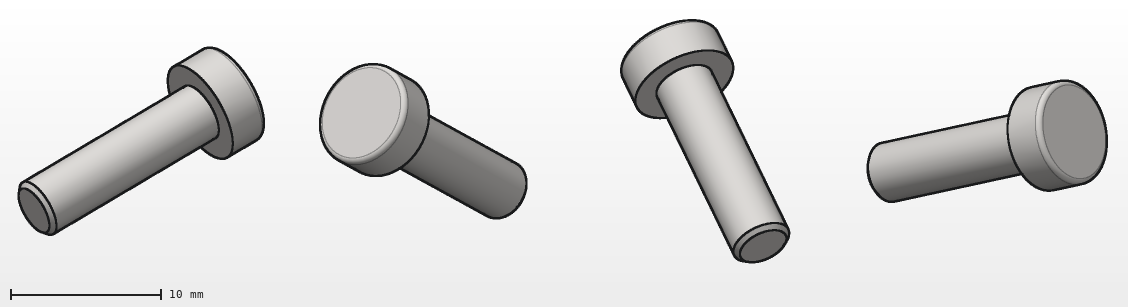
import cadquery as cq

total_length = 16.8
head_diameter = 7.0
head_height = 2.8
head_edge_radius = 0.35
shank_diameter = 4.0
tip_chamfer = 0.34

shank_length = total_length - head_height


def cylinder_along_y(diameter, length):
    """Cylinder on the Y axis, running from Y = 0 to Y = length (negative runs to -Y)."""
    return cq.Workplane("XZ").circle(diameter / 2).extrude(-length)


head = cylinder_along_y(head_diameter, head_height).faces(">Y").edges().fillet(head_edge_radius)
shank = cylinder_along_y(shank_diameter, -shank_length).faces("<Y").edges().chamfer(tip_chamfer)

result = head.union(shank)